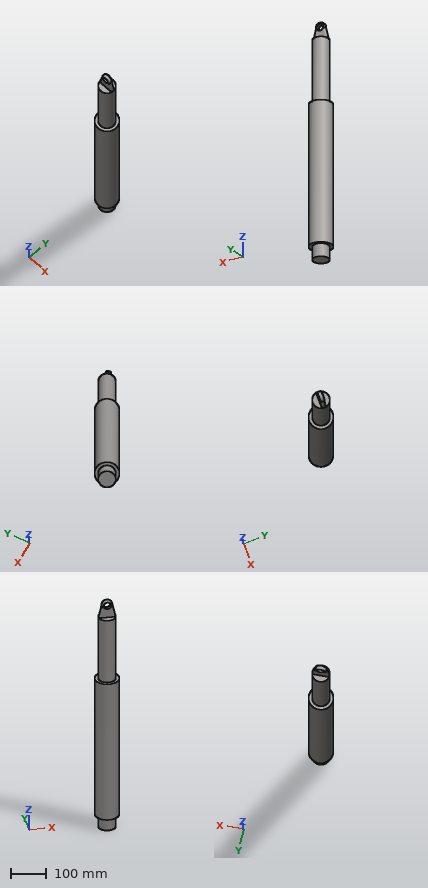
import cadquery as cq
import math

total_length = 731.0
body_diameter = 70.0
body_length = 439.0
rod_diameter = 50.0
tail_length = 40.0
upper_rod_length = 199.5

lug_thickness = 12.5
eye_radius = 15.0
eye_hole_diameter = 20.5
eye_rounding = 3.0
blade_base_width = 49.0
edge_clearance = 0.1

body_top = tail_length + body_length
rod_top = body_top + upper_rod_length
eye_center = total_length - eye_radius
eye_height = eye_center - rod_top


def cylinder(diameter, bottom, length):
    return cq.Workplane("XY").workplane(offset=bottom).circle(diameter / 2).extrude(length)


def lug_plane():
    """XZ plane with its origin at the center of the eye."""
    return cq.Workplane("XZ", origin=(0, 0, eye_center))


def make_blade():
    """Tapered blade whose rounded sides run tangent to the eye."""
    base_half = blade_base_width / 2
    tangent_angle = math.atan2(eye_height, base_half) - math.acos(
        eye_radius / math.hypot(base_half, eye_height)
    )
    tangent_x = eye_radius * math.cos(tangent_angle)
    tangent_z = -eye_radius * math.sin(tangent_angle)
    outline = [
        (-base_half, -eye_height),
        (base_half, -eye_height),
        (tangent_x, tangent_z),
        (-tangent_x, tangent_z),
    ]
    blade = lug_plane().polyline(outline).close().extrude(lug_thickness / 2, both=True)
    side_rounding = lug_thickness / 2 - edge_clearance
    long_edges = blade.faces("<Y or >Y").edges("not |X")
    return long_edges.fillet(side_rounding)


def make_eye():
    eye = lug_plane().circle(eye_radius).extrude(lug_thickness / 2, both=True)
    return eye.edges().fillet(eye_rounding)


rod = cylinder(rod_diameter, 0, rod_top)
body = cylinder(body_diameter, tail_length, body_length)
eye_hole = lug_plane().circle(eye_hole_diameter / 2).extrude(lug_thickness, both=True)

result = rod.union(body).union(make_blade()).union(make_eye()).cut(eye_hole)